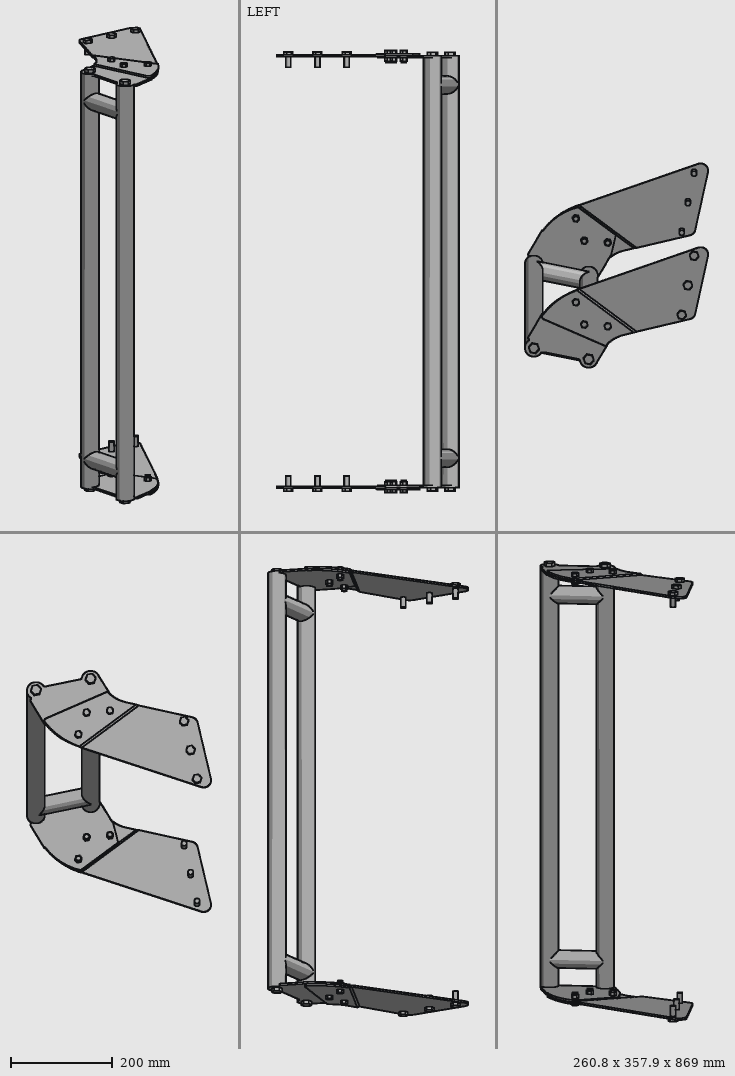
import cadquery as cq
import math

TOTAL_HEIGHT = 869.0
SHEET = 4.0
JOGGLE_DROP = 3.0

TUBE_DIAMETER = 36.0
TUBE_RADIUS = TUBE_DIAMETER / 2
INNER_TUBE = (-104.0, 35.0)
OUTER_TUBE = (0.0, 0.0)
CROSS_TUBE_HEIGHT = 367.0

TILT = math.degrees(math.atan2(INNER_TUBE[1], INNER_TUBE[0])) - 180

CLAMP_HEAD = 14.0
CLAMP_HEAD_HEIGHT = 6.0
NUT_HEIGHT = 7.0
NUT_COLLAR_DIAMETER = 10.0
NUT_COLLAR_HEIGHT = 3.5
ARM_HEAD = 18.0
ARM_HEAD_HEIGHT = 6.0
ARM_SHANK_DIAMETER = 10.0
ARM_SHANK_LENGTH = 24.0
TUBE_HEAD = 21.0
TUBE_HEAD_HEIGHT = 7.0

PAD_TOP = TOTAL_HEIGHT / 2 - CLAMP_HEAD_HEIGHT
PAD_BOTTOM = PAD_TOP - SHEET
TUBE_PLATE_BOTTOM = PAD_BOTTOM - SHEET
ARM_TOP = PAD_TOP - JOGGLE_DROP

ARM_ROW_START = (-218.0, 203.0)
ARM_ROW_STEP = (19.0, 57.0)
ARM_BOLT_COUNT = 3
ARM_BOLTS = [
    (ARM_ROW_START[0] + i * ARM_ROW_STEP[0], ARM_ROW_START[1] + i * ARM_ROW_STEP[1])
    for i in range(ARM_BOLT_COUNT)
]
CLAMP_BOLTS = [(-103.0, 111.0), (-62.0, 91.0), (-25.0, 122.0)]

ARM_TIP = (-196.0, 355.0)
ARM_HEEL = (-243.0, 209.0)
ARM_TIP_RADIUS = 15.0
ARM_HEEL_RADIUS = 15.0
FOLD_INNER = (-158.0, 129.5)
FOLD_OUTER = (-18.0, 147.0)
FOLD_WIDTH = 4.0
BEND_INNER_START = (-141.0, 112.0)
BEND_INNER_MID = (-128.0, 96.0)
BEND_INNER_END = (-120.0, 74.0)
BEND_OUTER_MID = (7.0, 108.0)
BEND_OUTER_END = (18.0, 66.0)
PAD_CORNER = (18.0, 59.0)
PAD_CORNER_RADIUS = 5.0
FOLD_REACH = 434.5

TUBE_PLATE_CORNER = (-110.0, 131.0)
WEB_SETBACK = 4.8
WEB_FILLET = 5.0
WEB_ROOT_OFFSET = math.sqrt(TUBE_RADIUS ** 2 - WEB_SETBACK ** 2)
TUBE_PLATE_INNER_X = INNER_TUBE[0] - TUBE_RADIUS
TUBE_PLATE_OUTER_X = 20.0
TUBE_PLATE_OUTER_LOW_Y = 11.0
TUBE_PLATE_SHOULDER_Y = 92.0


def round_corner(body, point, radius):
    """Fillet the upright edge of a body nearest to a plan point."""
    level = body.val().Center().z
    nearest = cq.selectors.NearestToPointSelector((*point, level))
    return body.edges("|Z").edges(nearest).fillet(radius)


def upright_cylinder(point, diameter, bottom, height):
    """Vertical cylinder standing on a plan point."""
    return cq.Workplane("XY", origin=(*point, bottom)).circle(diameter / 2).extrude(height)


def hexagon(point, corners, bottom, height):
    """Hexagonal prism with two corners on the direction between the uprights."""
    prism = cq.Workplane("XY").polygon(6, corners).extrude(height)
    return prism.rotate((0, 0, 0), (0, 0, 1), TILT).translate((*point, bottom))


def joggled_slab():
    """Oversized sheet that steps down across the fold line, from pad level to arm level."""
    along = cq.Vector(FOLD_OUTER[0] - FOLD_INNER[0], FOLD_OUTER[1] - FOLD_INNER[1], 0).normalized()
    across = cq.Vector(-along.y, along.x, 0)
    start = cq.Vector(*FOLD_INNER, 0) - along * FOLD_REACH
    top = [
        (-FOLD_REACH, PAD_TOP),
        (-FOLD_WIDTH, PAD_TOP),
        (0, ARM_TOP),
        (FOLD_REACH, ARM_TOP),
    ]
    bottom = [(offset, level - SHEET) for offset, level in reversed(top)]
    section = cq.Workplane(cq.Plane(start, across, along)).polyline(top + bottom).close()
    return section.extrude(2 * FOLD_REACH)


def make_sheet():
    """Arm and pad, one sheet with a joggle along the fold."""
    outline = (
        cq.Workplane("XY").moveTo(*BEND_INNER_END)
        .threePointArc(BEND_INNER_MID, BEND_INNER_START)
        .lineTo(*ARM_HEEL)
        .lineTo(*ARM_TIP)
        .lineTo(*FOLD_OUTER)
        .threePointArc(BEND_OUTER_MID, BEND_OUTER_END)
        .lineTo(*PAD_CORNER)
        .close()
    )
    blank = outline.extrude(TOTAL_HEIGHT / 2)
    for corner, radius in (
        (ARM_TIP, ARM_TIP_RADIUS),
        (ARM_HEEL, ARM_HEEL_RADIUS),
        (PAD_CORNER, PAD_CORNER_RADIUS),
    ):
        blank = round_corner(blank, corner, radius)
    return blank.intersect(joggled_slab())


def web_root(tube, offset):
    """Point where the front edge of the web meets the lobe around a tube."""
    angle = math.radians(TILT)
    return (
        tube[0] + offset * math.cos(angle) + WEB_SETBACK * math.sin(angle),
        tube[1] + offset * math.sin(angle) - WEB_SETBACK * math.cos(angle),
    )


def make_tube_plate():
    """Plate under the pad that carries the uprights on two round lobes."""
    web_inner = web_root(INNER_TUBE, WEB_ROOT_OFFSET)
    web_outer = web_root(OUTER_TUBE, -WEB_ROOT_OFFSET)
    outline = (
        cq.Workplane("XY").moveTo(*TUBE_PLATE_CORNER)
        .lineTo(FOLD_OUTER[0], FOLD_OUTER[1] - FOLD_WIDTH)
        .threePointArc(BEND_OUTER_MID, BEND_OUTER_END)
        .lineTo(TUBE_PLATE_OUTER_X, BEND_OUTER_END[1])
        .lineTo(TUBE_PLATE_OUTER_X, TUBE_PLATE_OUTER_LOW_Y)
        .lineTo(*OUTER_TUBE)
        .lineTo(*web_outer)
        .lineTo(*web_inner)
        .lineTo(*INNER_TUBE)
        .lineTo(TUBE_PLATE_INNER_X, INNER_TUBE[1])
        .lineTo(TUBE_PLATE_INNER_X, TUBE_PLATE_SHOULDER_Y)
    )
    body = outline.close().extrude(SHEET).translate((0, 0, TUBE_PLATE_BOTTOM))
    for tube in (INNER_TUBE, OUTER_TUBE):
        body = body.union(upright_cylinder(tube, TUBE_DIAMETER, TUBE_PLATE_BOTTOM, SHEET))
    for root in (web_inner, web_outer):
        body = round_corner(body, root, WEB_FILLET)
    return body


def make_bolts():
    """Arm bolts, clamp bolts with collared nuts, and the heads capping the uprights."""
    parts = []
    shank_bottom = ARM_TOP - ARM_SHANK_LENGTH
    for point in ARM_BOLTS:
        parts.append(hexagon(point, ARM_HEAD, ARM_TOP, ARM_HEAD_HEIGHT))
        parts.append(upright_cylinder(point, ARM_SHANK_DIAMETER, shank_bottom, ARM_SHANK_LENGTH))
    nut_bottom = TUBE_PLATE_BOTTOM - NUT_HEIGHT
    collar_bottom = nut_bottom - NUT_COLLAR_HEIGHT
    for point in CLAMP_BOLTS:
        parts.append(hexagon(point, CLAMP_HEAD, PAD_TOP, CLAMP_HEAD_HEIGHT))
        parts.append(hexagon(point, CLAMP_HEAD, nut_bottom, NUT_HEIGHT))
        parts.append(upright_cylinder(point, NUT_COLLAR_DIAMETER, collar_bottom, NUT_COLLAR_HEIGHT))
    for point in (INNER_TUBE, OUTER_TUBE):
        parts.append(hexagon(point, TUBE_HEAD, PAD_BOTTOM, TUBE_HEAD_HEIGHT))
    return parts


def make_bracket():
    """Complete upper bracket with its fasteners."""
    bracket = make_tube_plate().union(make_sheet())
    for bolt in make_bolts():
        bracket = bracket.union(bolt)
    return bracket


def make_frame():
    """Two uprights joined by two cross tubes of the same diameter."""
    length = 2 * TUBE_PLATE_BOTTOM
    inner = upright_cylinder(INNER_TUBE, TUBE_DIAMETER, -TUBE_PLATE_BOTTOM, length)
    outer = upright_cylinder(OUTER_TUBE, TUBE_DIAMETER, -TUBE_PLATE_BOTTOM, length)
    frame = inner.union(outer)
    for z in (-CROSS_TUBE_HEIGHT, CROSS_TUBE_HEIGHT):
        cross = cq.Solid.makeCylinder(
            TUBE_RADIUS,
            math.hypot(*INNER_TUBE),
            cq.Vector(*OUTER_TUBE, z),
            cq.Vector(*INNER_TUBE, 0),
        )
        frame = frame.union(cq.Workplane(cross))
    return frame


upper_bracket = make_bracket()
lower_bracket = upper_bracket.mirror("XY")
result = make_frame().union(upper_bracket).union(lower_bracket)